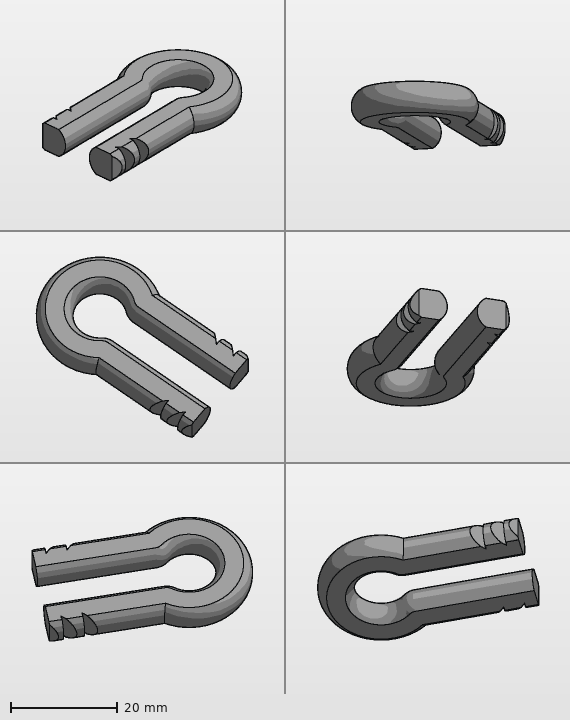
import cadquery as cq
import math

total_length = 40.5
ring_outer_radius = 12.0
thickness = 6.0
leg_gap = 6.0
bar_radius = 3.5

notch_depth = 2.5
first_notch_height = 2.5
notch_pitch = 4.0
notch_count = 2
tip_bevel_width = 1.2
tip_bevel_height = 1.5

ring_radius = ring_outer_radius - bar_radius
leg_x = leg_gap / 2 + bar_radius
leg_outer_x = leg_x + bar_radius
leg_end_y = ring_outer_radius - total_length
joint_y = -math.sqrt(ring_radius**2 - leg_x**2)
ring_sweep = 180 + 2 * math.degrees(math.atan2(-joint_y, leg_x))


def make_ring():
    """Open ring of round bar, running from one leg joint to the other."""
    start_angle = math.degrees(math.atan2(joint_y, leg_x))
    ring = (
        cq.Workplane("XZ")
        .center(ring_radius, 0)
        .circle(bar_radius)
        .revolve(ring_sweep, (-ring_radius, 0), (-ring_radius, 1))
    )
    return ring.rotate((0, 0, 0), (0, 0, 1), start_angle)


def cut_outer_side(leg, points):
    """Remove a triangle, running through the full bar, from a leg."""
    cutter = cq.Workplane("XY").polyline(points).close().extrude(bar_radius, both=True)
    return leg.cut(cutter)


def make_leg():
    """Right leg with its notches and bevelled tip."""
    leg = (
        cq.Workplane("XZ", origin=(leg_x, joint_y, 0))
        .circle(bar_radius)
        .extrude(joint_y - leg_end_y)
    )
    for index in range(notch_count):
        shelf_y = leg_end_y + first_notch_height + index * notch_pitch
        leg = cut_outer_side(leg, [
            (leg_outer_x - notch_depth, shelf_y),
            (leg_outer_x, shelf_y),
            (leg_outer_x, shelf_y + notch_depth),
        ])
    leg = cut_outer_side(leg, [
        (leg_outer_x - tip_bevel_width, leg_end_y),
        (leg_outer_x, leg_end_y),
        (leg_outer_x, leg_end_y + tip_bevel_height),
    ])
    return leg


def make_joint_ball():
    """Ball that rounds the joint between the right leg and the ring."""
    return cq.Workplane("XY").sphere(bar_radius).translate((leg_x, joint_y, 0))


def flatten(body):
    """Trim the round bar to flat faces at the top and bottom."""
    slab = cq.Workplane("XY").box(2 * total_length, 2 * total_length, thickness)
    return body.intersect(slab)


right_side = flatten(make_leg()).union(flatten(make_joint_ball()))
left_side = right_side.mirror("YZ")
result = flatten(make_ring()).union(right_side).union(left_side).clean()